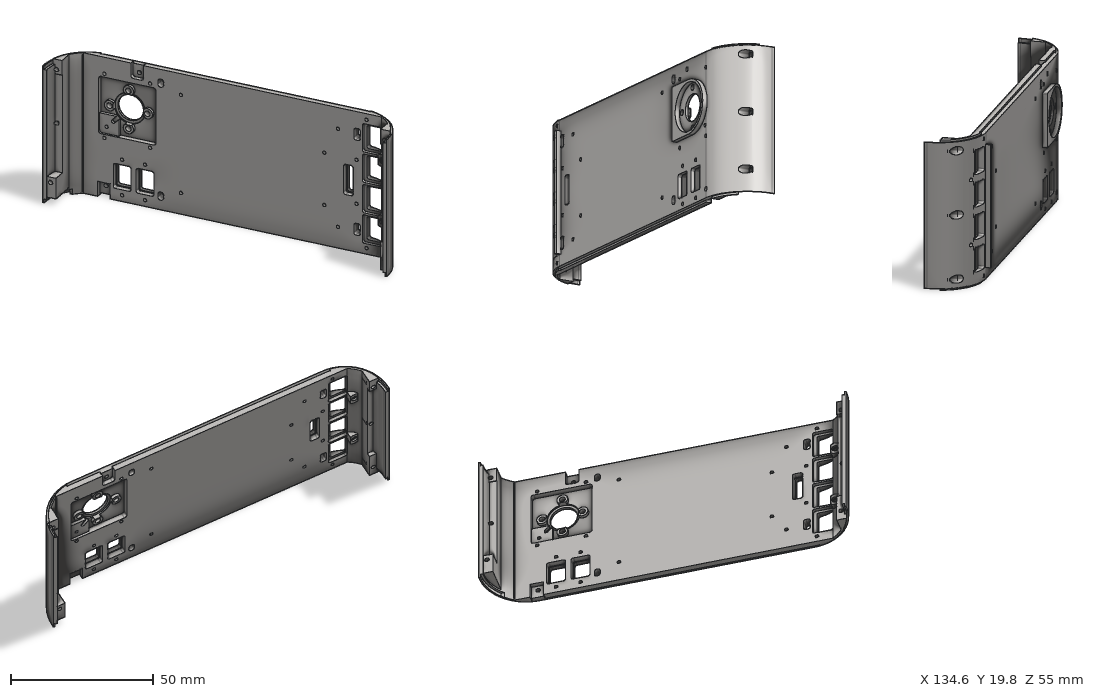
import cadquery as cq

WIDTH = 134.6
SHELL_DEPTH = 18.0
HEIGHT = 55.0
RIM_STEP = 0.75
OUTER_RADIUS = 17.0
WALL = 1.5
SKIN = 0.6
TONGUE_INSET = 0.8
TONGUE_STEP = 1.6
TONGUE_STEP_OVERRUN = 2.4
PLATE_THICKNESS = 3.7
LEDGE_THICKNESS = 4.0
LEDGE_X = -58.3
TONGUE_DEPTH = 12.0
SHORT_TONGUE_DEPTH = 6.2
REBATE_HEIGHT = 1.35
SKIN_HEIGHT = HEIGHT - 2 * RIM_STEP
FLAT_HALF = WIDTH / 2 - OUTER_RADIUS

RAISED = 1.8
PAD_RADIUS = 10.0
PAD_BORE = 18.0
PAD_RIGHT = 11.2
PAD_CORNER = 0.3
BAR_X = 50.1
BAR_WIDTH = 1.2
BAR_LENGTH = 45.0
BAR_ROOT = 0.8

RIDGE_INNER_X = 62.3
LEFT_RIDGE_DEPTH = 12.4
RIGHT_RIDGE_DEPTH = 11.0
RIDGE_END_DEPTH = 12.6
FOOT_DEPTH = 17.4
RIDGE_END_LENGTH = 5.8
LEFT_RIDGE_BOTTOM = -24.6
LEFT_FOOT_TOP = -16.5
RIGHT_FOOT_TOP = -16.4
WALL_SCREW_HOLE = 1.6
WALL_SCREW_HEAD = 3.0
WALL_SCREW_SEAT = 10.0
LEFT_SCREW_X = -64.5
LEFT_SCREW_ZS = (23.5, 2.45, -18.6)
RIGHT_SCREW_X = 63.9
RIGHT_SCREW_ZS = (23.5, 0.0, -23.5)

CAMERA_X = -41.2
CAMERA_Z = 8.5
POCKET_SIZE = 22.4
POCKET_CORNER = 1.0
POCKET_FLOOR = 1.6
CAMERA_HOLE = 10.0
CAMERA_RECESS = 12.0
CAMERA_RECESS_DEPTH = 0.6
CAMERA_SCREW_OFFSET = 7.4
CAMERA_SCREW_HOLE = 2.1
CAMERA_BOSS = 4.0
STEP_SIZE = 7.6
STEP_HEIGHT = 1.2
CABLE_SLOT_LENGTH = 9.0
CABLE_SLOT_WIDTH = 1.4
CAMERA_PILOT_DX = 8.95
CAMERA_PILOT_DZ = 12.55

LEFT_WINDOW_XS = (-43.2, -34.25)
LEFT_WINDOW_Z = -18.05
LEFT_WINDOW_POCKET = (6.9, 9.7)
LEFT_WINDOW_OPENING = (6.1, 8.9)
LEFT_WINDOW_PILOT_DZ = 6.95
RIGHT_WINDOW_PITCH = 11.9
RIGHT_WINDOW_END_X = 58.3
RIGHT_WINDOW_FLOOR = 2.4
RIGHT_WINDOW_POCKET = (7.5, 11.1)
RIGHT_WINDOW_OPENING = (6.3, 9.1)
WINDOW_CORNER = 0.8

PILOT_HOLE = 1.25
STEPPED_SLOT_X = 45.3
STEPPED_SLOT_POCKET = (3.7, 11.8)
STEPPED_SLOT_OPENING = (2.7, 10.9)
SIDE_SLOT_X = 48.7
SIDE_SLOT_Z = 18.6
SIDE_SLOT_SIZE = (2.4, 4.6)
OVAL_X = -28.1
OVAL_Z = 22.1
OVAL_LENGTH = 3.2
OVAL_WIDTH = 2.2
PLATE_PILOTS = (
    (-20.2, 19.2), (-20.2, -19.2), (41.2, 19.2), (41.2, -19.2),
    (35.9, 8.7), (35.9, -11.8), (48.5, 8.6), (48.5, -8.6),
    (52.4, 25.1), (52.4, -25.1), (-49.7, 0.0),
)

NOTCH_WIDTH = 4.9
NOTCH_LENGTH = 5.9
NOTCH_FLOOR = 2.0
NOTCH_CORNER = 1.0
NOTCH_HOLE = 1.6
NOTCH_HOLE_Z = 23.5
TOP_NOTCH_X = -37.3
BOTTOM_NOTCH_X = -50.3

BOSS_X = 59.8
BOSS_Z = RIGHT_WINDOW_PITCH
BOSS_DIAMETER = 4.8
BOSS_END = 6.3
BOSS_INNER_X = 58.2
BOSS_OUTER_X = 61.2
BOSS_RECESS = 2.2
BOSS_RECESS_DEPTH = 0.8


def box(x0, x1, y0, y1, z0, z1):
    """Axis-aligned box between two opposite corners."""
    return cq.Workplane("XY").box(x1 - x0, y1 - y0, z1 - z0, centered=False).translate((x0, y0, z0))


def plate_sketch(depth):
    """Workplane parallel to the plate, at a depth below its outer face; extrudes towards -Y."""
    return cq.Workplane("XZ", origin=(0, -depth, 0))


def rounded_block(x, z, size, corner, depth0, depth1):
    """Round-cornered rectangular block between two depths."""
    block = plate_sketch(depth0).center(x, z).rect(*size).extrude(depth1 - depth0)
    return block.edges("|Y").fillet(corner)


def pins(points, diameter, depth0, depth1):
    """Cylinders along Y at the given (x, z) points."""
    return plate_sketch(depth0).pushPoints(points).circle(diameter / 2).extrude(depth1 - depth0)


def dome(inset, height):
    """Solid under the outer curve moved inwards by inset, centred in Z."""
    half = WIDTH / 2 - inset
    radius = OUTER_RADIUS - inset
    mid = radius * 0.5 ** 0.5
    return (
        cq.Workplane("XY", origin=(0, 0, -height / 2))
        .moveTo(-half, -SHELL_DEPTH)
        .lineTo(-half, -OUTER_RADIUS)
        .threePointArc((-FLAT_HALF - mid, mid - OUTER_RADIUS), (-FLAT_HALF, -inset))
        .lineTo(FLAT_HALF, -inset)
        .threePointArc((FLAT_HALF + mid, mid - OUTER_RADIUS), (half, -OUTER_RADIUS))
        .lineTo(half, -SHELL_DEPTH)
        .close()
        .extrude(height)
    )


def slab(depth0, depth1, half_width=WIDTH):
    """Layer between two depths, tall enough to cover the whole part."""
    return box(-half_width, half_width, -depth1, -depth0, -HEIGHT, HEIGHT)


def make_shell():
    """Curved shell and plate, with tongues at both Z ends and thinned wall ends."""
    inner = dome(WALL, 2 * HEIGHT).cut(slab(0, PLATE_THICKNESS))
    skin = dome(0, SKIN_HEIGHT)
    tongue = dome(TONGUE_INSET, HEIGHT).intersect(slab(0, TONGUE_DEPTH))
    tongue = tongue.cut(slab(0, TONGUE_STEP, FLAT_HALF + TONGUE_STEP_OVERRUN))
    ledge = box(-WIDTH, LEDGE_X, -LEDGE_THICKNESS, 0, -HEIGHT, HEIGHT).intersect(dome(0, SKIN_HEIGHT))
    shell = skin.union(tongue).cut(inner).union(ledge)

    rebate_z = SKIN_HEIGHT / 2 - REBATE_HEIGHT
    rebates = slab(TONGUE_DEPTH, SHELL_DEPTH).cut(box(-WIDTH, WIDTH, -SHELL_DEPTH, 0, -rebate_z, rebate_z))
    short_end = box(-WIDTH, 0, -SHELL_DEPTH, -SHORT_TONGUE_DEPTH, -HEIGHT, -rebate_z)
    return shell.cut(rebates.union(short_end).intersect(dome(SKIN, 2 * HEIGHT)))


def add_ridges(body):
    """Screw ridges along both walls, with deeper blocks at their ends."""
    top = HEIGHT / 2
    end = top - RIDGE_END_LENGTH
    far = WIDTH / 2
    blocks = (
        (-far, -RIDGE_INNER_X, LEFT_RIDGE_DEPTH, LEFT_FOOT_TOP, end),
        (-far, -RIDGE_INNER_X, RIDGE_END_DEPTH, end, top),
        (-far, -RIDGE_INNER_X, FOOT_DEPTH, LEFT_RIDGE_BOTTOM, LEFT_FOOT_TOP),
        (RIDGE_INNER_X, far, RIGHT_RIDGE_DEPTH, RIGHT_FOOT_TOP, end),
        (RIDGE_INNER_X, far, RIDGE_END_DEPTH, end, top),
        (RIDGE_INNER_X, far, RIDGE_END_DEPTH, -top, RIGHT_FOOT_TOP),
    )
    core = dome(TONGUE_INSET, HEIGHT)
    for x0, x1, depth, z0, z1 in blocks:
        body = body.union(box(x0, x1, -depth, 0, z0, z1).intersect(core))
    return body


def cut_wall_screws(body):
    for x, zs in ((LEFT_SCREW_X, LEFT_SCREW_ZS), (RIGHT_SCREW_X, RIGHT_SCREW_ZS)):
        points = [(x, z) for z in zs]
        body = body.cut(pins(points, WALL_SCREW_HEAD, 0, WALL_SCREW_SEAT))
        body = body.cut(pins(points, WALL_SCREW_HOLE, 0, SHELL_DEPTH))
    return body


def add_outer_pad_and_bar(body):
    pad = (
        plate_sketch(-RAISED)
        .center(CAMERA_X, CAMERA_Z)
        .moveTo(0, PAD_RADIUS)
        .threePointArc((-PAD_RADIUS, 0), (0, -PAD_RADIUS))
        .lineTo(PAD_RIGHT, -PAD_RADIUS)
        .lineTo(PAD_RIGHT, PAD_RADIUS)
        .close()
        .extrude(RAISED + POCKET_FLOOR)
        .edges("|Y and >X")
        .fillet(PAD_CORNER)
    )
    bar = plate_sketch(-RAISED).center(BAR_X, 0).rect(BAR_WIDTH, BAR_LENGTH).extrude(RAISED + BAR_ROOT)
    return body.union(pad).union(bar)


def cut_camera_pocket(body):
    pocket = rounded_block(
        CAMERA_X, CAMERA_Z, (POCKET_SIZE, POCKET_SIZE), POCKET_CORNER, POCKET_FLOOR, PLATE_THICKNESS
    )
    left = CAMERA_X - POCKET_SIZE / 2
    bottom = CAMERA_Z - POCKET_SIZE / 2
    step_depth = POCKET_FLOOR + STEP_HEIGHT
    step = box(left, left + STEP_SIZE, -step_depth, 0, bottom, bottom + STEP_SIZE)

    screws = []
    for dx, dz in ((1, 0), (-1, 0), (0, 1), (0, -1)):
        screws.append((CAMERA_X + dx * CAMERA_SCREW_OFFSET, CAMERA_Z + dz * CAMERA_SCREW_OFFSET))
    bosses = pins(screws, CAMERA_BOSS, 0, step_depth)
    body = body.cut(pocket.cut(step).cut(bosses))

    camera = [(CAMERA_X, CAMERA_Z)]
    body = body.cut(pins(camera, PAD_BORE, -RAISED, 0))
    recess_floor = POCKET_FLOOR - CAMERA_RECESS_DEPTH
    body = body.cut(pins(camera, CAMERA_RECESS, recess_floor, PLATE_THICKNESS))
    body = body.cut(pins(camera, CAMERA_HOLE, -RAISED, PLATE_THICKNESS))

    cable_slot = (
        plate_sketch(POCKET_FLOOR)
        .center(CAMERA_X, CAMERA_Z)
        .transformed(rotate=(0, 0, 45))
        .center(-CABLE_SLOT_LENGTH / 2, 0)
        .slot2D(CABLE_SLOT_LENGTH, CABLE_SLOT_WIDTH)
        .extrude(STEP_HEIGHT)
    )
    body = body.cut(cable_slot)

    return body.cut(pins(screws, CAMERA_SCREW_HOLE, -RAISED, PLATE_THICKNESS))


def cut_stepped_window(body, x, z, pocket, opening, opening_x, floor=POCKET_FLOOR):
    """Deep pocket with a smaller opening through the remaining floor."""
    body = body.cut(rounded_block(x, z, pocket, WINDOW_CORNER, floor, PLATE_THICKNESS))
    return body.cut(rounded_block(opening_x, z, opening, WINDOW_CORNER, -RAISED, PLATE_THICKNESS))


def cut_windows(body):
    for x in LEFT_WINDOW_XS:
        body = cut_stepped_window(body, x, LEFT_WINDOW_Z, LEFT_WINDOW_POCKET, LEFT_WINDOW_OPENING, x)
    pocket_x = RIGHT_WINDOW_END_X - RIGHT_WINDOW_POCKET[0] / 2
    opening_x = RIGHT_WINDOW_END_X - RIGHT_WINDOW_OPENING[0] / 2
    for step in (-1.5, -0.5, 0.5, 1.5):
        z = step * RIGHT_WINDOW_PITCH
        body = cut_stepped_window(
            body, pocket_x, z, RIGHT_WINDOW_POCKET, RIGHT_WINDOW_OPENING, opening_x, RIGHT_WINDOW_FLOOR
        )
    return body


def cut_slots(body):
    body = cut_stepped_window(
        body, STEPPED_SLOT_X, 0, STEPPED_SLOT_POCKET, STEPPED_SLOT_OPENING, STEPPED_SLOT_X
    )
    for side in (-1, 1):
        slot = rounded_block(
            SIDE_SLOT_X, side * SIDE_SLOT_Z, SIDE_SLOT_SIZE, WINDOW_CORNER, 0, PLATE_THICKNESS
        )
        oval = (
            plate_sketch(0)
            .center(OVAL_X, side * OVAL_Z)
            .slot2D(OVAL_LENGTH, OVAL_WIDTH, 90)
            .extrude(PLATE_THICKNESS)
        )
        body = body.cut(slot).cut(oval)
    return body


def cut_pilot_holes(body):
    points = list(PLATE_PILOTS)
    for side in (-1, 1):
        for dx in (-CAMERA_PILOT_DX, CAMERA_PILOT_DX):
            points.append((CAMERA_X + dx, CAMERA_Z + side * CAMERA_PILOT_DZ))
        for x in LEFT_WINDOW_XS:
            points.append((x, LEFT_WINDOW_Z + side * LEFT_WINDOW_PILOT_DZ))
    return body.cut(pins(points, PILOT_HOLE, -RAISED, PLATE_THICKNESS))


def cut_notches(body):
    for x, side in ((TOP_NOTCH_X, 1), (BOTTOM_NOTCH_X, -1)):
        inner_z = side * (HEIGHT / 2 - NOTCH_LENGTH)
        z0, z1 = sorted((inner_z, side * HEIGHT))
        tip0, tip1 = sorted((side * SKIN_HEIGHT / 2, side * HEIGHT))
        left = x - NOTCH_WIDTH / 2
        right = x + NOTCH_WIDTH / 2
        notch = box(left, right, -PLATE_THICKNESS, -NOTCH_FLOOR, z0, z1)
        if side > 0:
            notch = notch.edges("|Y and <Z").fillet(NOTCH_CORNER)
        body = body.cut(notch)
        body = body.cut(box(left, right, -PLATE_THICKNESS, 0, tip0, tip1))
        body = body.cut(pins([(x, side * NOTCH_HOLE_Z)], NOTCH_HOLE, 0, PLATE_THICKNESS))
    return body


def add_bosses(body):
    points = [(BOSS_X, BOSS_Z), (BOSS_X, -BOSS_Z)]
    bosses = pins(points, BOSS_DIAMETER, 0, BOSS_END).intersect(dome(SKIN, HEIGHT))
    bosses = bosses.intersect(box(BOSS_INNER_X, BOSS_OUTER_X, -SHELL_DEPTH, 0, -HEIGHT, HEIGHT))
    body = body.union(bosses)
    body = body.cut(pins(points, BOSS_RECESS, BOSS_END - BOSS_RECESS_DEPTH, BOSS_END))
    return body.cut(pins(points, PILOT_HOLE, 0, BOSS_END))


body = make_shell()
body = add_ridges(body)
body = cut_wall_screws(body)
body = add_outer_pad_and_bar(body)
body = cut_camera_pocket(body)
body = cut_windows(body)
body = cut_slots(body)
body = cut_pilot_holes(body)
body = cut_notches(body)
result = add_bosses(body)